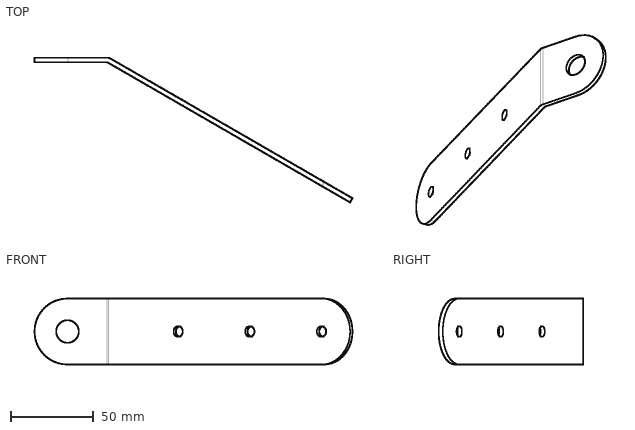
import cadquery as cq
import math

thickness = 3.0
width = 40.0
bend_angle = 30.0
bend_inner_radius = 2.0
short_leg = 45.0
long_leg = 170.0
eye_diameter = 13.5
screw_diameter = 6.4
screw_count = 3
screw_pitch = 50.0

end_radius = width / 2
bend_outer_radius = bend_inner_radius + thickness
bend_setback = bend_outer_radius * math.tan(math.radians(bend_angle / 2))


def flat_leg(length, hole_diameter, hole_count, hole_pitch):
    """Flat leg along +X with its outer face on Y = 0 and a fully rounded tip.

    The first hole is concentric with the tip and the others step back towards the bend.
    """
    tip_center = length - end_radius
    outline = (
        cq.Workplane("XZ")
        .moveTo(bend_setback, -end_radius)
        .lineTo(tip_center, -end_radius)
        .threePointArc((length, 0), (tip_center, end_radius))
        .lineTo(bend_setback, end_radius)
        .close()
    )
    hole_centers = [(tip_center - i * hole_pitch, 0) for i in range(hole_count)]
    holes = cq.Workplane("XZ").pushPoints(hole_centers).circle(hole_diameter / 2)
    return outline.extrude(thickness).cut(holes.extrude(thickness))


def bend_segment():
    """Curved piece joining the legs, swept about a Z axis on the inner side of the bend."""
    section_center_y = -thickness / 2
    axis_y = -bend_outer_radius
    return (
        cq.Workplane("YZ", origin=(-bend_setback, 0, 0))
        .center(section_center_y, 0)
        .rect(thickness, width)
        .revolve(
            bend_angle,
            (axis_y - section_center_y, 1, 0),
            (axis_y - section_center_y, 0, 0),
        )
    )


eye_leg = flat_leg(short_leg, eye_diameter, 1, 0).mirror("YZ")
screw_leg = flat_leg(long_leg, screw_diameter, screw_count, screw_pitch).rotate(
    (0, 0, 0), (0, 0, 1), -bend_angle
)

result = eye_leg.union(bend_segment()).union(screw_leg)